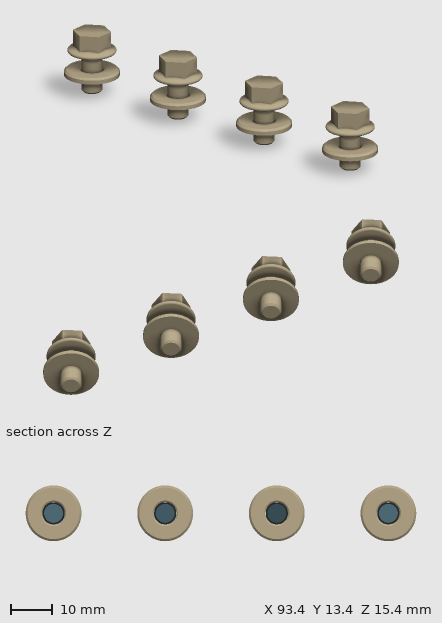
import cadquery as cq
import math

ROW_LENGTH = 93.4
BOLT_COUNT = 4

WASHER_DIAMETER = 13.4
WASHER_HOLE_DIAMETER = 5.3
WASHER_HOLE_CHAMFER = 0.4
WASHER_THICKNESS = 1.5
WASHER_CHAMFER = 0.5
COUNTERSINK_ANGLE = 90.0
WASHER_BOTTOM = 4.2

BOLT_LENGTH = 15.4
SHANK_DIAMETER = 5.0
TIP_CHAMFER = 0.5
HEAD_HEIGHT = 5.4
HEX_SIDES = 6
HEX_ACROSS_FLATS = 8.0
FLANGE_DIAMETER = 11.8
RIM_RADIUS = 0.495
CONE_ANGLE = 20.0

head_bottom = BOLT_LENGTH - HEAD_HEIGHT
hex_across_corners = HEX_ACROSS_FLATS / math.cos(math.pi / HEX_SIDES)
pitch = (ROW_LENGTH - WASHER_DIAMETER) / (BOLT_COUNT - 1)


def make_shank():
    shank = cq.Workplane("XY").circle(SHANK_DIAMETER / 2).extrude(head_bottom)
    return shank.faces("<Z").chamfer(TIP_CHAMFER)


def make_flange():
    """Disc with a rounded rim running tangentially into a shallow cone below the hexagon."""
    slope = math.radians(CONE_ANGLE)
    rim_middle = head_bottom + RIM_RADIUS
    rim_inner_radius = FLANGE_DIAMETER / 2 - RIM_RADIUS
    cone_radius = rim_inner_radius + RIM_RADIUS * math.sin(slope)
    cone_bottom = rim_middle + RIM_RADIUS * math.cos(slope)
    hex_radius = HEX_ACROSS_FLATS / 2
    cone_top = cone_bottom + (cone_radius - hex_radius) * math.tan(slope)
    profile = (
        cq.Workplane("XZ")
        .moveTo(0, head_bottom)
        .lineTo(rim_inner_radius, head_bottom)
        .threePointArc((FLANGE_DIAMETER / 2, rim_middle), (cone_radius, cone_bottom))
        .lineTo(hex_radius, cone_top)
        .lineTo(0, cone_top)
        .close()
    )
    return profile.revolve(360, (0, 0, 0), (0, 1, 0))


def make_hexagon():
    """Hexagonal prism with two flats facing along X."""
    return (
        cq.Workplane("XY", origin=(0, 0, head_bottom))
        .polygon(HEX_SIDES, hex_across_corners)
        .extrude(HEAD_HEIGHT)
        .rotate((0, 0, 0), (0, 0, 1), 180 / HEX_SIDES)
    )


def make_bolt(x):
    bolt = make_shank().union(make_flange()).union(make_hexagon())
    return bolt.translate((x, 0, 0))


def make_washer(x):
    """Loose washer around the shank, chamfered on its upper outer and inner edges."""
    disc = (
        cq.Workplane("XY", origin=(x, 0, WASHER_BOTTOM))
        .circle(WASHER_DIAMETER / 2)
        .extrude(WASHER_THICKNESS)
        .faces(">Z")
        .chamfer(WASHER_CHAMFER)
    )
    return disc.faces(">Z").workplane().cskHole(
        WASHER_HOLE_DIAMETER, WASHER_HOLE_DIAMETER + 2 * WASHER_HOLE_CHAMFER, COUNTERSINK_ANGLE
    )


bolts = []
washers = []
for index in range(BOLT_COUNT):
    x = (index - (BOLT_COUNT - 1) / 2) * pitch
    bolts.append(make_bolt(x).val())
    washers.append(make_washer(x).val())

result = cq.Compound.makeCompound([*bolts, *washers])